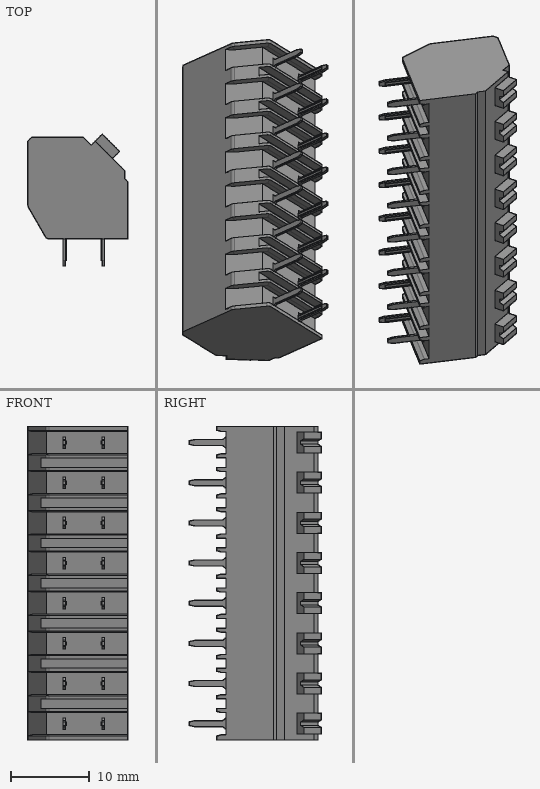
import cadquery as cq
import math


width = 12.7
depth = 12.9
height = 39.75
back_chamfer = 0.5
actuator_face_leg = 5.65
slant_depth = 4.15
slant_angle = 60.0
slant_rear_radius = 0.95
slant_front_radius = 0.5

pad_height = 0.7
pad_start = 1.45
pad_side_inset = 0.35

pole_count = 8
pole_pitch = 5.1
first_pole_z = (height - (pole_count - 1) * pole_pitch) / 2

pocket_depth = 1.2
pocket_root_height = 2.8
pocket_mouth_height = 3.1
lip_bevel_depth = 0.6
slot_height = 1.2

button_length = 3.1
button_rise = 1.27
button_height = 2.65
button_overlap = 0.2
groove_depth = 0.6
groove_mouth = 0.95
groove_floor = 0.4

pin_length = 3.45
pin_shoulder_height = 1.47
pin_shoulder_length = 0.4
pin_height = 0.8
pin_tip_height = 0.48
pin_tip_length = 0.7
pin_thickness = 0.3
pin_centers_x = (4.6, 9.6)
rib_height = 0.4
rib_rise = 0.1
pin_rib_sides = (1, -1)
pin_embed = 0.4

slant_width = slant_depth / math.tan(math.radians(slant_angle))
slant_length = math.hypot(slant_width, slant_depth)
diagonal = math.sqrt(0.5)
face_start = (width - actuator_face_leg, depth)


def on_actuator_face(along, out):
    """Plan point at a distance along the 45 degree face and a distance outside it."""
    return (face_start[0] + (along + out) * diagonal, face_start[1] + (out - along) * diagonal)


def make_housing():
    outline = [
        (0, slant_depth),
        (slant_width, 0),
        (width, 0),
        (width, depth - actuator_face_leg),
        face_start,
        (back_chamfer, depth),
        (0, depth - back_chamfer),
    ]
    housing = cq.Workplane("XY").polyline(outline).close().extrude(height)
    housing = housing.edges(cq.selectors.NearestToPointSelector((0, slant_depth, height / 2))).fillet(
        slant_rear_radius
    )
    return housing.edges(cq.selectors.NearestToPointSelector((slant_width, 0, height / 2))).fillet(
        slant_front_radius
    )


def make_pad():
    pad_right = width - pad_side_inset
    pad_back = on_actuator_face(pad_start, pad_height)
    outline = [
        on_actuator_face(pad_start, 0),
        pad_back,
        (pad_right, pad_back[0] + pad_back[1] - pad_right),
        (pad_right, face_start[0] + face_start[1] - pad_right),
    ]
    return cq.Workplane("XY").polyline(outline).close().extrude(height)


def make_lip_bevel(length):
    """Tapered pocket mouth along an edge lying on +X, with the material on its +Y side."""
    mouth = pocket_mouth_height / 2
    root = pocket_root_height / 2
    outline = [(0, -mouth), (lip_bevel_depth, -root), (lip_bevel_depth, root), (0, mouth)]
    return cq.Workplane("YZ").polyline(outline).close().extrude(length)


def make_pocket():
    """Space around the recessed core of one pole, centred on z = 0."""
    outline = [
        (0, 0),
        (width, 0),
        (width, pocket_depth),
        (slant_width, pocket_depth),
        (0, slant_depth + pocket_depth),
    ]
    root = cq.Workplane("XY").polyline(outline).close().extrude(pocket_root_height / 2, both=True)
    mouth = cq.Workplane("XY").polyline(outline).close().extrude(pocket_mouth_height / 2, both=True)
    slant_bevel = (
        make_lip_bevel(slant_length + 2 * pocket_depth)
        .translate((-pocket_depth, 0, 0))
        .rotate((0, 0, 0), (0, 0, 1), -slant_angle)
        .translate((0, slant_depth, 0))
    )
    side_bevel = (
        make_lip_bevel(slant_depth + pocket_depth)
        .rotate((0, 0, 0), (0, 0, 1), -90)
        .translate((0, slant_depth + pocket_depth, 0))
    )
    bevels = make_lip_bevel(width).union(slant_bevel).union(side_bevel)
    return root.union(mouth.intersect(bevels))


def make_button():
    """Grooved push button on the pad, centred on z = 0."""
    seat = on_actuator_face(pad_start, pad_height)
    face_plane = cq.Plane(origin=(*seat, 0), xDir=(1, -1, 0), normal=(1, 1, 0))
    button = (
        cq.Workplane(face_plane)
        .workplane(offset=-button_overlap)
        .center(button_length / 2, 0)
        .rect(button_length, button_height)
        .extrude(button_rise + button_overlap)
    )
    groove_plane = cq.Plane(origin=(*seat, 0), xDir=(0, 0, -1), normal=(1, -1, 0))
    floor = button_rise - groove_depth
    groove = (
        cq.Workplane(groove_plane)
        .polyline(
            [
                (-groove_floor / 2, floor),
                (groove_floor / 2, floor),
                (groove_mouth / 2, button_rise),
                (-groove_mouth / 2, button_rise),
            ]
        )
        .close()
        .extrude(button_length)
    )
    return button.cut(groove)


def make_pin(center_x, rib_side):
    """Flat solder pin with a stiffening rib, centred on z = 0."""
    shoulder_y = pocket_depth - pin_shoulder_length
    taper_y = pin_tip_length - pin_length
    half_outline = [
        (pocket_depth + pin_embed, pin_shoulder_height / 2),
        (pocket_depth, pin_shoulder_height / 2),
        (shoulder_y, pin_height / 2),
        (taper_y, pin_height / 2),
        (-pin_length, pin_tip_height / 2),
    ]
    mirrored = [(y, -z) for y, z in reversed(half_outline)]
    blade = (
        cq.Workplane("YZ", origin=(center_x, 0, 0))
        .polyline(half_outline + mirrored)
        .close()
        .extrude(pin_thickness / 2, both=True)
    )
    rib_length = pocket_depth + pin_embed - taper_y
    rib = cq.Workplane("XY").box(pin_thickness, rib_length, rib_height)
    return blade.union(rib.translate((center_x + rib_side * rib_rise, taper_y + rib_length / 2, 0)))


result = make_housing().union(make_pad())

pocket = make_pocket()
button = make_button()
pins = [make_pin(x, side) for x, side in zip(pin_centers_x, pin_rib_sides)]
slot = cq.Workplane("XY").box(width, pocket_depth, slot_height, centered=(False, False, True))

for pole in range(pole_count):
    pole_z = first_pole_z + pole * pole_pitch
    result = result.cut(pocket.translate((0, 0, pole_z)))
    if pole < pole_count - 1:
        result = result.cut(slot.translate((0, 0, pole_z + pole_pitch / 2)))
    for addition in [button, *pins]:
        result = result.union(addition.translate((0, 0, pole_z)))